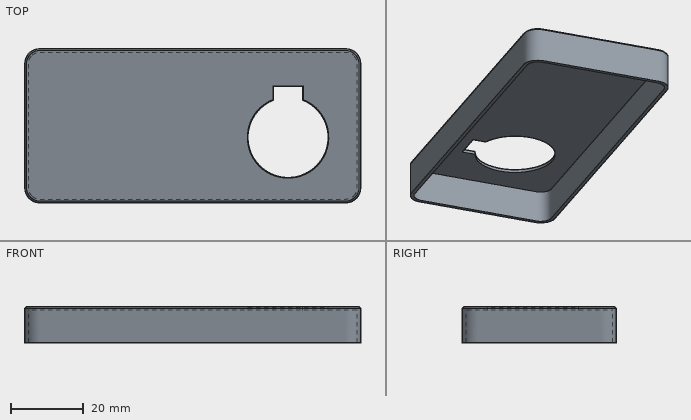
import cadquery as cq

outer_length = 92.4
outer_width = 42.4
height = 10.0
outer_corner_radius = 4.2
wall = 1.0
top_chamfer = 0.5

opening_x = 26.2
opening_y = -3.2
opening_diameter = 22.0
notch_width = 8.0
notch_top_y = 10.8
opening_chamfer = 0.2

cavity_length = outer_length - 2 * wall
cavity_width = outer_width - 2 * wall
cavity_height = height - wall
cavity_corner_radius = outer_corner_radius - wall


def rounded_block(length, width, block_height, corner_radius):
    """Block standing on Z = 0, centred in X and Y, with rounded vertical edges."""
    block = cq.Workplane("XY").box(length, width, block_height, centered=(True, True, False))
    return block.edges("|Z").fillet(corner_radius)


def cover_shell():
    """Rounded cover, open at the bottom, with a chamfered top rim."""
    outside = rounded_block(outer_length, outer_width, height, outer_corner_radius)
    outside = outside.faces(">Z").edges().chamfer(top_chamfer)
    cavity = rounded_block(cavity_length, cavity_width, cavity_height, cavity_corner_radius)
    return outside.cut(cavity)


def keyhole_cutter():
    """Round opening with a rectangular notch on its +Y side."""
    notch_length = notch_top_y - opening_y
    base = cq.Workplane("XY").center(opening_x, opening_y)
    round_part = base.circle(opening_diameter / 2).extrude(height)
    notch = base.center(0, notch_length / 2).rect(notch_width, notch_length).extrude(height)
    return round_part.union(notch)


def cover_with_keyhole():
    """Cover with the keyhole cut through its top plate and the keyhole's top edge chamfered."""
    cover = cover_shell().cut(keyhole_cutter())
    keyhole_rim = cover.faces(">Z").val().innerWires()[0]
    return cover.newObject(keyhole_rim.Edges()).chamfer(opening_chamfer)


result = cover_with_keyhole()